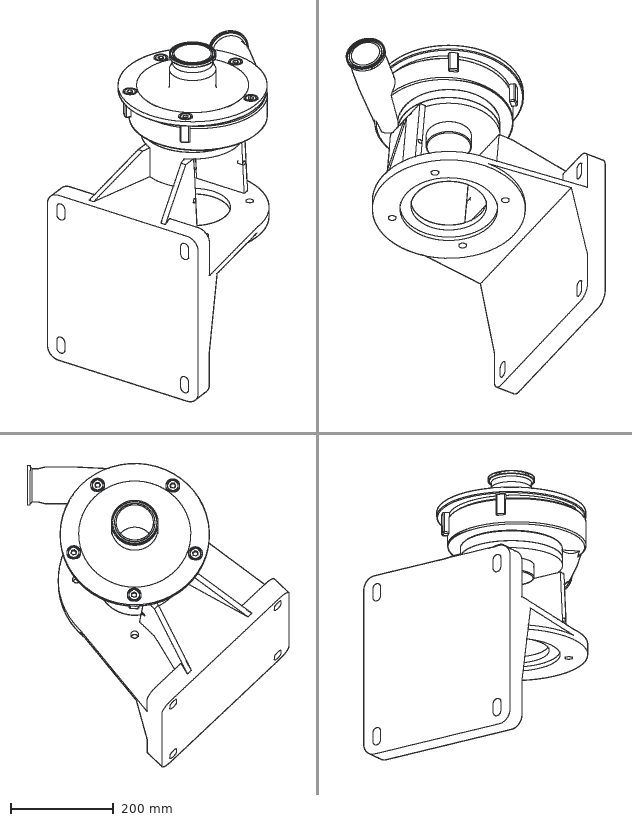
import cadquery as cq
import math


wall_width = 350.0
wall_height = 370.0
wall_thickness = 40.5
wall_front_y = -251.0
wall_back_y = wall_front_y + wall_thickness
wall_corner_radius = 26.0
slot_length = 35.5
slot_width = 18.5
slot_x = 144.0
slot_edge_distance = 35.5

shelf_top_z = 270.5
shelf_thickness = 13.0
disc_thickness = 21.5
disc_radius = 149.5
disc_opening_radius = 74.0
disc_register_radius = 95.0
disc_hole_circle_radius = 113.5
disc_hole_diameter = 15.0
disc_hole_count = 4
first_disc_hole_angle = 45.0
shelf_bottom_z = shelf_top_z - shelf_thickness

gusset_reach = 34.5
gusset_toe_z = 99.5

pedestal_top_z = 434.5
pedestal_radius = 100.0
pedestal_half_width = 55.0
window_half_depth = 84.0
window_top_y = 3.0
window_bottom_y = 15.5
rear_wall_thickness = 12.0
rib_thickness = 10.5
rib_angle = 15.0
rib_start_y = -110.0
rib_end_y = -235.0
rear_rib_top_y = 99.5
rear_rib_bottom_y = 142.5
dowel_z = 338.5
dowel_diameter = 8.5
dowel_depth = 12.0
dowel_inset = 5.0

adapter_seam_z = 449.0
adapter_chamfer = 2.5
adapter_radius = 99.5
casing_bottom_z = 472.0
casing_top_z = 526.0
casing_radius = 135.0
casing_offset_x = 9.0
casing_offset_y = 5.5
casing_edge_chamfer = 3.0
casing_neck_radius = 129.0
shaft_radius = 44.0
shaft_end_z = 407.5
shaft_chamfer = 2.0

cover_bottom_z = 533.0
cover_top_z = 544.0
cover_radius = 145.5
cover_chamfer = 2.0
dish_rim_radius = 109.5
dish_rim_chamfer = 2.5
dish_floor_radius = 83.5
dish_floor_fillet = 12.0
dish_depth = 23.0
dish_hub_fillet = 20.0

screw_count = 5
screw_circle_radius = 125.0
first_screw_angle = 8.6
screw_pocket_radius = 13.5
screw_head_radius = 10.5
screw_pocket_depth = 5.0
screw_socket_size = 11.0
screw_socket_depth = 6.0
lug_width = 19.5
lug_inner_radius = 117.0
lug_outer_radius = 136.5
lug_bottom_z = 490.5
lug_chamfer = 2.5

ferrule_flange_thickness = 5.5
ferrule_flange_slope = 3.5
ferrule_neck_end = 21.0
ferrule_cone_end = 35.0
ferrule_groove_width = 3.5
ferrule_groove_depth = 2.0

inlet_face_z = 614.5
inlet_radius = 45.5
inlet_neck_radius = 39.5
inlet_bore_radius = 36.0
inlet_bore_end_z = 479.5

outlet_z = 496.5
outlet_angle = 45.0
outlet_axis_offset = 116.0
outlet_face_distance = 209.5
outlet_flange_radius = 39.0
outlet_radius = 36.0
outlet_neck_radius = 32.5
outlet_bore_radius = 28.0
outlet_bore_depth = 184.5
outlet_taper_start = 91.5
outlet_root_radius = 31.0


def cylinder(radius, bottom_z, top_z, x=0.0, y=0.0):
    return cq.Workplane("XY", origin=(x, y, bottom_z)).circle(radius).extrude(top_z - bottom_z)


def make_wall_plate():
    plate = (
        cq.Workplane("XZ", origin=(0, wall_back_y, wall_height / 2))
        .rect(wall_width, wall_height)
        .extrude(wall_thickness)
        .edges("|Y")
        .fillet(wall_corner_radius)
    )
    slot_z = wall_height / 2 - slot_edge_distance
    slots = (
        cq.Workplane("XZ", origin=(0, wall_back_y, wall_height / 2))
        .rect(2 * slot_x, 2 * slot_z, forConstruction=True)
        .vertices()
        .slot2D(slot_length, slot_width, 90)
        .extrude(wall_thickness)
    )
    return plate.cut(slots)


def make_shelf():
    corner_x = wall_width / 2
    web = (
        cq.Workplane("XY", origin=(0, 0, gusset_toe_z))
        .moveTo(-corner_x, wall_back_y)
        .lineTo(corner_x, wall_back_y)
        .lineTo(disc_radius, 0)
        .threePointArc((0, disc_radius), (-disc_radius, 0))
        .close()
        .extrude(shelf_top_z - gusset_toe_z)
    )
    gusset_y = wall_back_y + gusset_reach
    side_profile = (
        cq.Workplane("YZ", origin=(-corner_x, 0, 0))
        .moveTo(wall_back_y, gusset_toe_z)
        .lineTo(gusset_y, shelf_bottom_z)
        .lineTo(disc_radius, shelf_bottom_z)
        .lineTo(disc_radius, shelf_top_z)
        .lineTo(wall_back_y, shelf_top_z)
        .close()
        .extrude(wall_width)
    )
    shelf = web.intersect(side_profile)

    disc_bottom_z = shelf_top_z - disc_thickness
    disc = cylinder(disc_radius, disc_bottom_z, shelf_top_z)
    opening = cylinder(disc_opening_radius, disc_bottom_z, shelf_top_z)
    register = cylinder(disc_register_radius, disc_bottom_z, shelf_bottom_z)
    bolt_holes = (
        cq.Workplane("XY", origin=(0, 0, disc_bottom_z))
        .polarArray(disc_hole_circle_radius, first_disc_hole_angle, 360, disc_hole_count)
        .circle(disc_hole_diameter / 2)
        .extrude(disc_thickness)
    )
    return shelf.union(disc).cut(opening).cut(register).cut(bolt_holes)


def slanted_block(front_offset, back_offset):
    """Block along X whose front and back lean with the pedestal window."""
    return (
        cq.Workplane("YZ", origin=(-pedestal_half_width, 0, 0))
        .moveTo(window_bottom_y + front_offset, shelf_top_z)
        .lineTo(window_bottom_y + back_offset, shelf_top_z)
        .lineTo(window_top_y + back_offset, pedestal_top_z)
        .lineTo(window_top_y + front_offset, pedestal_top_z)
        .close()
        .extrude(2 * pedestal_half_width)
    )


def make_front_ribs():
    """Splayed ribs running onto the wall plate, with the block that fills the gap between them."""
    slope = math.tan(math.radians(rib_angle))
    rib_width_x = rib_thickness / math.cos(math.radians(rib_angle))
    end_x = pedestal_half_width + (rib_start_y - rib_end_y) * slope
    inner_start_x = pedestal_half_width - rib_width_x + rib_start_y * slope
    outline = (
        cq.Workplane("XY", origin=(0, 0, shelf_top_z))
        .moveTo(pedestal_half_width, 0)
        .lineTo(pedestal_half_width, rib_start_y)
        .lineTo(end_x, rib_end_y)
        .lineTo(end_x - rib_width_x, rib_end_y)
        .lineTo(inner_start_x, 0)
        .close()
        .extrude(pedestal_top_z - shelf_top_z)
    )
    side_profile = (
        cq.Workplane("YZ")
        .moveTo(0, pedestal_top_z)
        .lineTo(rib_start_y, pedestal_top_z)
        .lineTo(rib_end_y, wall_height)
        .lineTo(wall_back_y, wall_height)
        .lineTo(wall_back_y, shelf_top_z)
        .lineTo(0, shelf_top_z)
        .close()
        .extrude(wall_width / 2)
    )
    rib = outline.intersect(side_profile)
    block = (
        cq.Workplane("XY", origin=(0, 0, shelf_top_z))
        .moveTo(inner_start_x, 0)
        .lineTo(end_x - rib_width_x, rib_end_y)
        .lineTo(rib_width_x - end_x, rib_end_y)
        .lineTo(-inner_start_x, 0)
        .close()
        .extrude(wall_height - shelf_top_z)
    )
    return block.union(rib).union(rib.mirror("YZ"))


def make_pedestal():
    height = pedestal_top_z - shelf_top_z
    front_wall = cylinder(pedestal_radius, shelf_top_z, pedestal_top_z).intersect(
        cq.Workplane("XY", origin=(0, -pedestal_radius / 2, shelf_top_z + height / 2))
        .box(2 * pedestal_half_width, pedestal_radius, height)
    )
    window = slanted_block(-window_half_depth, window_half_depth)
    rear_wall = slanted_block(window_half_depth, window_half_depth + rear_wall_thickness)
    rear_rib = (
        cq.Workplane("YZ", origin=(-rib_thickness / 2, 0, 0))
        .moveTo(window_bottom_y + window_half_depth, shelf_top_z)
        .lineTo(rear_rib_bottom_y, shelf_top_z)
        .lineTo(rear_rib_top_y, pedestal_top_z)
        .lineTo(window_top_y + window_half_depth, pedestal_top_z)
        .close()
        .extrude(rib_thickness)
    )
    pedestal = front_wall.union(make_front_ribs()).cut(window).union(rear_wall).union(rear_rib)

    height_share = (dowel_z - shelf_top_z) / height
    window_y = window_bottom_y + (window_top_y - window_bottom_y) * height_share
    for wall_side in (-1, 1):
        dowel_y = window_y + wall_side * (window_half_depth + dowel_inset)
        for face_side in (-1, 1):
            start_x = face_side * (pedestal_half_width - dowel_depth / 2)
            dowel_hole = (
                cq.Workplane("YZ", origin=(start_x, dowel_y, dowel_z))
                .circle(dowel_diameter / 2)
                .extrude(dowel_depth / 2, both=True)
            )
            pedestal = pedestal.cut(dowel_hole)
    return pedestal


def make_casing():
    shaft = cylinder(shaft_radius, shaft_end_z, casing_bottom_z).faces("<Z").chamfer(shaft_chamfer)
    mount_ring = cylinder(pedestal_radius, pedestal_top_z, adapter_seam_z)
    adapter = (
        cylinder(adapter_radius, adapter_seam_z, casing_bottom_z).faces(">Z").chamfer(adapter_chamfer)
    )
    volute = (
        cylinder(casing_radius, casing_bottom_z, casing_top_z, casing_offset_x, casing_offset_y)
        .faces("<Z or >Z")
        .chamfer(casing_edge_chamfer)
    )
    neck_x = casing_offset_x / 2
    neck_y = casing_offset_y / 2
    neck = cylinder(casing_neck_radius, casing_bottom_z, cover_bottom_z, neck_x, neck_y)
    return shaft.union(mount_ring).union(adapter).union(volute).union(neck)


def make_cover():
    """Flange with a dished middle that sweeps up into the inlet pipe."""
    flange = cylinder(cover_radius, cover_bottom_z, cover_top_z).faces("<Z").chamfer(cover_chamfer)
    floor_z = cover_top_z - dish_depth
    hub_foot_radius = inlet_radius + dish_hub_fillet
    arc_shift = dish_hub_fillet * (1 - math.sqrt(0.5))
    dish = (
        cq.Workplane("XZ")
        .moveTo(dish_rim_radius, cover_top_z)
        .lineTo(dish_rim_radius - dish_rim_chamfer, cover_top_z - dish_rim_chamfer)
        .lineTo(dish_floor_radius, floor_z)
        .lineTo(hub_foot_radius, floor_z)
        .threePointArc(
            (inlet_radius + arc_shift, floor_z + arc_shift),
            (inlet_radius, floor_z + dish_hub_fillet),
        )
        .lineTo(inlet_radius, cover_top_z)
        .close()
        .revolve(360, (0, 0, 0), (0, 1, 0))
    )
    outermost = cq.selectors.RadiusNthSelector(-1)
    dish = dish.faces("<Z").edges(outermost).fillet(dish_floor_fillet)
    return flange, dish


def make_ferrule(flange_radius, neck_radius, pipe_radius, length):
    """Pipe end with a clamp flange; the open face is at Z = 0 and the pipe runs down."""
    slope_end = ferrule_flange_thickness + ferrule_flange_slope
    slope_radius = neck_radius + ferrule_flange_slope
    pipe = (
        cq.Workplane("XZ")
        .lineTo(flange_radius, 0)
        .lineTo(flange_radius, -ferrule_flange_thickness)
        .lineTo(slope_radius, -ferrule_flange_thickness)
        .lineTo(neck_radius, -slope_end)
        .lineTo(neck_radius, -ferrule_neck_end)
        .lineTo(pipe_radius, -ferrule_cone_end)
        .lineTo(pipe_radius, -length)
        .lineTo(0, -length)
        .close()
        .revolve(360, (0, 0, 0), (0, 1, 0))
    )
    seal_groove = (
        cq.Workplane("XY")
        .circle(neck_radius + ferrule_groove_width)
        .circle(neck_radius)
        .extrude(-ferrule_groove_depth)
    )
    return pipe.cut(seal_groove)


def make_outlet():
    """Outlet pipe and its bore, laid along the tangent of the volute."""
    taper_length = outlet_face_distance - outlet_taper_start
    taper = (
        cq.Workplane("XY", origin=(0, 0, -outlet_taper_start))
        .circle(outlet_radius)
        .workplane(offset=-taper_length)
        .circle(outlet_root_radius)
        .loft()
    )
    pipe = make_ferrule(outlet_flange_radius, outlet_neck_radius, outlet_radius, outlet_taper_start)
    bore = cylinder(outlet_bore_radius, -outlet_bore_depth, 0)

    def place(body):
        return (
            body.rotate((0, 0, 0), (0, 1, 0), -90)
            .translate((-outlet_face_distance, outlet_axis_offset, outlet_z))
            .rotate((0, 0, 0), (0, 0, 1), -outlet_angle)
        )

    return place(pipe.union(taper)), place(bore)


def make_inlet():
    pipe = make_ferrule(inlet_radius, inlet_neck_radius, inlet_radius, inlet_face_z - cover_bottom_z)
    return pipe.translate((0, 0, inlet_face_z))


def make_lugs():
    """Square lugs on the casing wall that take the cover screws."""
    depth = lug_outer_radius - lug_inner_radius
    height = cover_bottom_z - lug_bottom_z
    lug = (
        cq.Workplane("XY", origin=(lug_inner_radius + depth / 2, 0, lug_bottom_z + height / 2))
        .box(depth, lug_width, height)
        .edges("(|Z and >X) or <Z")
        .chamfer(lug_chamfer)
    )
    lugs = cq.Workplane("XY")
    for number in range(screw_count):
        angle = first_screw_angle + number * 360 / screw_count
        lugs = lugs.union(lug.rotate((0, 0, 0), (0, 0, 1), angle))
    return lugs


def make_screw_recesses():
    """Ring gap around each flush screw head, and its hexagon socket."""
    cover_face = cq.Workplane("XY", origin=(0, 0, cover_top_z))
    gaps = (
        cover_face.polarArray(screw_circle_radius, first_screw_angle, 360, screw_count)
        .circle(screw_pocket_radius)
        .circle(screw_head_radius)
        .extrude(-screw_pocket_depth)
    )
    sockets = (
        cover_face.polarArray(screw_circle_radius, first_screw_angle, 360, screw_count)
        .polygon(6, screw_socket_size)
        .extrude(-screw_socket_depth)
    )
    return gaps.union(sockets)


bracket = make_wall_plate().union(make_shelf()).union(make_pedestal())
outlet_pipe, outlet_bore = make_outlet()
cover_flange, cover_dish = make_cover()
inlet_bore = cylinder(inlet_bore_radius, inlet_bore_end_z, inlet_face_z)
pump = (
    make_casing()
    .union(outlet_pipe)
    .union(cover_flange)
    .union(make_lugs())
    .cut(cover_dish)
    .union(make_inlet())
    .cut(make_screw_recesses())
    .cut(inlet_bore)
    .cut(outlet_bore)
)
result = bracket.union(pump)